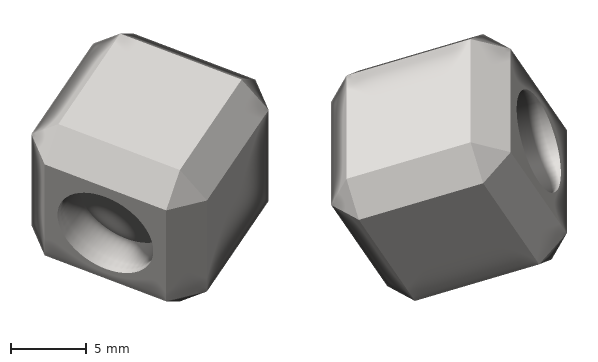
import cadquery as cq

side = 13.0
chamfer = 2.0
hole_diameter = 7.1
hole_depth = 3.0


def chamfered_cube():
    """Cube with every edge chamfered, leaving a triangle at each corner."""
    return cq.Workplane("XY").box(side, side, side).edges().chamfer(chamfer)


def drill_blind_hole(body, face):
    """Cut a flat-bottomed round hole in the middle of the selected face."""
    return (
        body.faces(face)
        .workplane(centerOption="CenterOfBoundBox")
        .hole(hole_diameter, hole_depth)
    )


result = chamfered_cube()
for socket_face in ("<X", "<Y"):
    result = drill_blind_hole(result, socket_face)